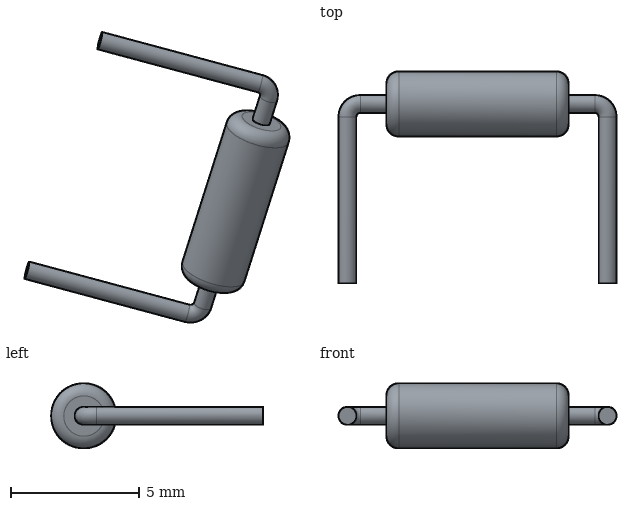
import cadquery as cq

overall_width = 10.86
overall_depth = 8.28
body_diameter = 2.55
body_length = 7.12
body_edge_radius = 0.49
lead_diameter = 0.71
bend_radius = 0.5

body_radius = body_diameter / 2
lead_x = (overall_width - lead_diameter) / 2
lead_tip_y = body_radius - overall_depth


def make_body():
    """Cylinder along X with both rims rounded."""
    cylinder = (
        cq.Workplane("YZ", origin=(-body_length / 2, 0, 0))
        .circle(body_radius)
        .extrude(body_length)
    )
    return cylinder.edges("%CIRCLE").fillet(body_edge_radius)


def make_leads():
    """One round wire through the body, bent toward -Y at both ends."""
    bend_start_x = lead_x - bend_radius
    path = (
        cq.Workplane("XY")
        .moveTo(-lead_x, lead_tip_y)
        .lineTo(-lead_x, -bend_radius)
        .tangentArcPoint((-bend_start_x, 0), relative=False)
        .lineTo(bend_start_x, 0)
        .tangentArcPoint((lead_x, -bend_radius), relative=False)
        .lineTo(lead_x, lead_tip_y)
    )
    return (
        cq.Workplane("XZ", origin=(-lead_x, lead_tip_y, 0))
        .circle(lead_diameter / 2)
        .sweep(path)
    )


result = make_body().union(make_leads())